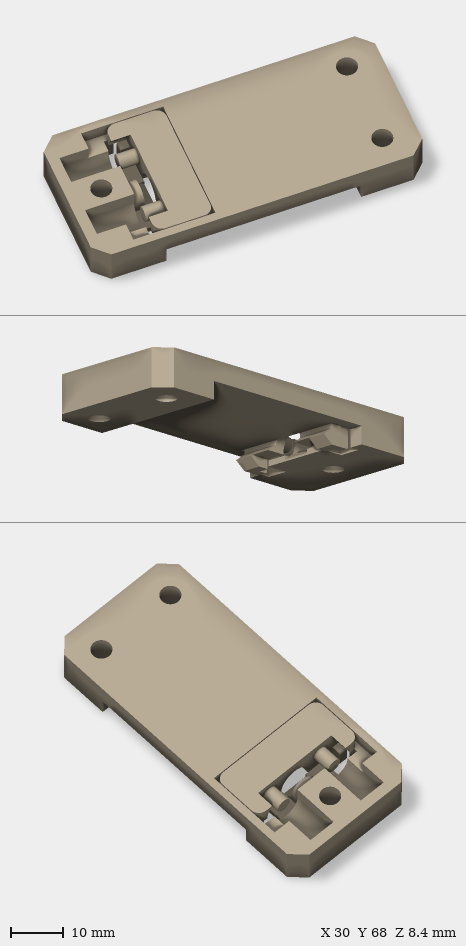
import cadquery as cq
import math

plate_width = 30.0
plate_length = 68.0
plate_height = 8.0
plate_corner_chamfer = 3.0
front_end = -plate_length / 2

channel_height = 3.7
channel_front = -19.65
channel_back = 20.25

wedge_height = 2.7
wedge_depth = 2.3

mounting_hole_diameter = 4.2
mounting_holes = [(-9.0, 27.0), (9.0, 27.0), (0.0, -27.0)]

pocket_width = 26.7
pocket_back = -8.95
pocket_front = -25.8
pocket_floor = 5.0
opening_width = 24.0
opening_front = -21.7
opening_back = -14.5

spring_offset = 6.55
spring_axis_height = pocket_floor
spring_slot_diameter = 6.0
spring_slot_front = -31.75

tongue_width = 14.9
tongue_height = 1.2
tongue_end = -17.0
guide_radius = 2.95
guide_axis_height = 2.05
guide_end = -19.2
ramp_angle = 37.0

side_gap = 0.2
clamp_width = pocket_width - 2 * side_gap
clamp_back = pocket_back - side_gap
clamp_front = -21.1
clamp_corner_radius = 2.0
web_front = -17.15
window_width = 2 * spring_offset + spring_slot_diameter

jaw_width = 23.6
jaw_bottom = -0.4
jaw_shoulder = -14.9
jaw_shoulder_height = 2.95
jaw_tip = -12.7

foot_inner = 9.9
foot_front = -19.15
foot_top = 3.5
foot_edge_radius = 0.5

pin_diameter = 3.1
spring_clearance_radius = 4.24
guide_clearance = 0.55
tongue_side_gap = 0.35
tongue_top_gap = 0.3


def box(x_min, x_max, y_min, y_max, z_min, z_max):
    """Block between the given limits."""
    size = (x_max - x_min, y_max - y_min, z_max - z_min)
    return cq.Workplane("XY").box(*size, centered=False).translate((x_min, y_min, z_min))


def centred_box(width, y_min, y_max, z_min, z_max):
    """Block between the given limits, symmetric about X = 0."""
    return box(-width / 2, width / 2, y_min, y_max, z_min, z_max)


def rod(x, z, radius, y_min, y_max):
    """Cylinder along Y."""
    return cq.Workplane("XZ", origin=(x, y_min, z)).circle(radius).extrude(y_min - y_max)


def side_profile(points, width):
    """Prism of a (Y, Z) outline, symmetric about X = 0."""
    return cq.Workplane("YZ").polyline(points).close().extrude(width / 2, both=True)


def make_plate():
    plate = centred_box(plate_width, front_end, -front_end, 0, plate_height)
    plate = plate.edges("|Z").chamfer(plate_corner_chamfer)
    plate = plate.cut(centred_box(plate_width, channel_front, channel_back, 0, channel_height))

    wedge_outline = [
        (channel_back, 0),
        (channel_back - wedge_depth, wedge_height / 2),
        (channel_back, wedge_height),
    ]
    plate = plate.union(side_profile(wedge_outline, jaw_width))

    pocket = centred_box(pocket_width, pocket_front, pocket_back, pocket_floor, plate_height)
    island_width = 2 * spring_offset
    island = centred_box(island_width, pocket_front, opening_front, pocket_floor, plate_height)
    plate = plate.cut(pocket.cut(island))
    plate = plate.cut(centred_box(opening_width, opening_front, opening_back, 0, plate_height))

    guide = rod(0, guide_axis_height, guide_radius, opening_front, guide_end)
    guide = guide.intersect(
        centred_box(2 * guide_radius, opening_front, guide_end, guide_axis_height, plate_height)
    )
    guide_base = centred_box(2 * guide_radius, opening_front, guide_end, 0, guide_axis_height)
    plate = plate.union(centred_box(tongue_width, opening_front, tongue_end, 0, tongue_height))
    plate = plate.union(guide_base).union(guide)

    ramp_length = tongue_end - guide_end
    ramp_end_height = guide_axis_height - ramp_length * math.tan(math.radians(ramp_angle))
    ramp_outline = [
        (guide_end, 0),
        (tongue_end, 0),
        (tongue_end, ramp_end_height),
        (guide_end, guide_axis_height),
    ]
    plate = plate.cut(centred_box(2 * guide_radius, guide_end, tongue_end, 0, tongue_height))
    plate = plate.union(side_profile(ramp_outline, 2 * guide_radius))

    slot_radius = spring_slot_diameter / 2
    for x in (-spring_offset, spring_offset):
        plate = plate.cut(rod(x, spring_axis_height, slot_radius, spring_slot_front, opening_front))
        plate = plate.cut(
            box(
                x - slot_radius,
                x + slot_radius,
                spring_slot_front,
                opening_front,
                spring_axis_height,
                plate_height,
            )
        )

    holes = (
        cq.Workplane("XY")
        .pushPoints(mounting_holes)
        .circle(mounting_hole_diameter / 2)
        .extrude(plate_height)
    )
    return plate.cut(holes)


def make_clamp():
    clamp = centred_box(clamp_width, clamp_front, clamp_back, pocket_floor, plate_height)
    clamp = clamp.edges("|Z").fillet(clamp_corner_radius)
    clamp = clamp.cut(centred_box(window_width, clamp_front, web_front, pocket_floor, plate_height))

    for x in (-spring_offset, spring_offset):
        clamp = clamp.cut(rod(x, spring_axis_height, spring_clearance_radius, clamp_front, web_front))

    jaw_outline = [
        (web_front, pocket_floor),
        (web_front, jaw_bottom),
        (jaw_shoulder, jaw_bottom),
        (jaw_tip, (jaw_bottom + jaw_shoulder_height) / 2),
        (jaw_shoulder, jaw_shoulder_height),
        (jaw_shoulder, pocket_floor),
    ]
    clamp = clamp.union(side_profile(jaw_outline, jaw_width))

    foot = box(foot_inner, jaw_width / 2, foot_front, web_front, jaw_bottom, foot_top)
    foot = foot.edges("<Y and |X").fillet(foot_edge_radius)
    clamp = clamp.union(foot).union(foot.mirror("YZ"))

    recess_width = tongue_width + 2 * tongue_side_gap
    recess_top = tongue_height + tongue_top_gap
    clamp = clamp.cut(centred_box(recess_width, web_front, jaw_tip, jaw_bottom, recess_top))
    passage_radius = guide_radius + guide_clearance
    clamp = clamp.cut(rod(0, guide_axis_height, passage_radius, web_front, clamp_back))

    for x in (-spring_offset, spring_offset):
        clamp = clamp.union(rod(x, spring_axis_height, pin_diameter / 2, clamp_front, web_front))
    return clamp


plate = make_plate()
clamp = make_clamp()

result = cq.Compound.makeCompound([plate.val(), clamp.val()])